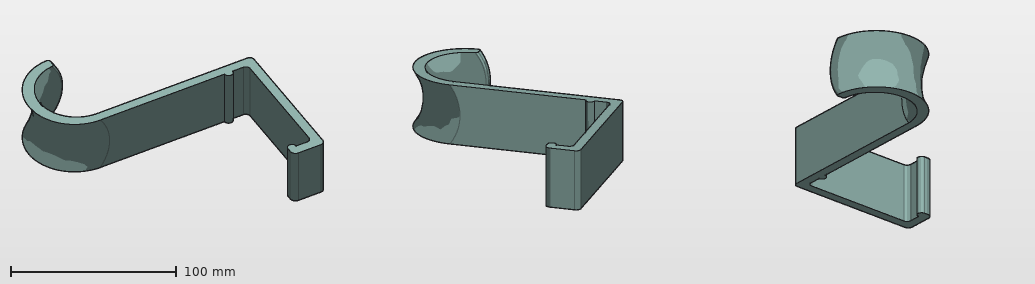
import cadquery as cq
import math

width = 38.1
wall = 6.2
corner_radius = 3.0

hook_radius = 31.6
saddle_radius = 31.0
tip_rounding = 1.3

overall_length = 147.8
top_y = 101.5
arm_length = 22.2
bead_radius = 2.8
lip_radius = 3.7

half_width = width / 2
hook_inner_radius = hook_radius - wall
right_x = overall_length - hook_radius
bead_y = top_y - arm_length + bead_radius
leg_overlap = 14.8


def saddle_sag(radius):
    return radius - math.sqrt(radius**2 - half_width**2)


def saddle_sweep(profile, radius):
    """Carry a profile along a saddle arc without turning it."""
    path = cq.Workplane("YZ").moveTo(-saddle_sag(radius), -half_width)
    path = path.threePointArc((0, 0), (-saddle_sag(radius), half_width))
    return profile.sweep(path, normal=cq.Vector(0, 0, 1))


def profile_start(radius, x):
    plane = cq.Workplane("XY", origin=(0, -saddle_sag(radius), -half_width))
    return plane.moveTo(x, 0)


def make_hook():
    outer_profile = (
        profile_start(saddle_radius, -hook_radius)
        .threePointArc((0, -hook_radius), (hook_radius, 0))
        .lineTo(hook_radius, leg_overlap)
        .lineTo(hook_inner_radius, leg_overlap)
        .lineTo(hook_inner_radius, 0)
        .close()
    )
    inner_saddle_radius = saddle_radius + wall
    inner_profile = (
        profile_start(inner_saddle_radius, -hook_inner_radius)
        .threePointArc((0, -hook_inner_radius), (hook_inner_radius, 0))
        .lineTo(hook_inner_radius, 2 * leg_overlap)
        .lineTo(-hook_inner_radius, 2 * leg_overlap)
        .close()
    )
    hook = saddle_sweep(outer_profile, saddle_radius)
    hook = hook.cut(saddle_sweep(inner_profile, inner_saddle_radius))
    for edge_x in (-hook_radius, -hook_inner_radius):
        tip_edge = cq.selectors.NearestToPointSelector((edge_x, -saddle_sag(saddle_radius) / 3, 0))
        hook = hook.edges(tip_edge).fillet(tip_rounding)
    return hook


def block(x_min, x_max, y_min, y_max):
    box = cq.Workplane("XY").box(x_max - x_min, y_max - y_min, width, centered=(False, False, True))
    return box.translate((x_min, y_min, 0))


def bead(x):
    """Snap bead running across the full width."""
    return cq.Workplane("XY").center(x, bead_y).circle(bead_radius).extrude(half_width, both=True)


def make_bracket():
    bracket = block(hook_inner_radius, right_x, 0, top_y)
    bracket = bracket.edges("|Z and >Y").fillet(corner_radius)
    arm_end_y = top_y - arm_length
    bracket = bracket.cut(block(hook_radius, right_x, 0, arm_end_y))
    arm_corner = cq.selectors.NearestToPointSelector((right_x, arm_end_y, 0))
    bracket = bracket.edges(arm_corner).fillet(lip_radius)
    channel = block(hook_radius, right_x - wall, 0, top_y - wall)
    bracket = bracket.cut(channel.edges("|Z and >Y").fillet(corner_radius))
    bracket = bracket.cut(block(hook_inner_radius, hook_radius, 0, leg_overlap / 2))
    return bracket.union(bead(hook_radius)).union(bead(right_x - wall))


result = make_hook().union(make_bracket()).clean()